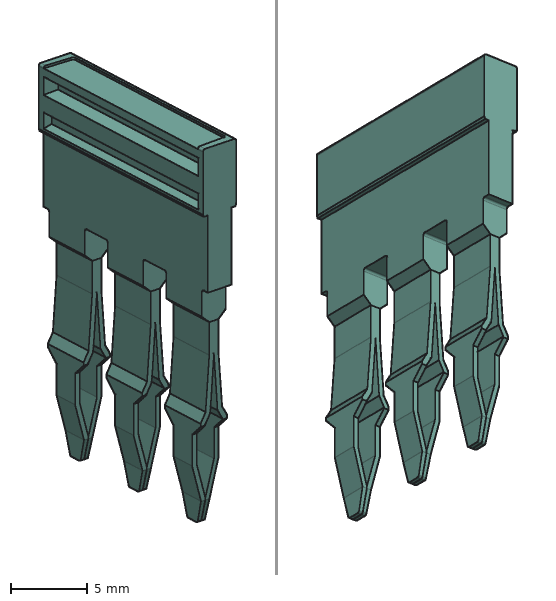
import cadquery as cq


TOP_Z = 27.95
STEP_Z = 23.05
BODY_BOTTOM_Z = 17.5
STUB_TAPER_Z = 15.55
STUB_BOTTOM_Z = 14.98
SPLIT_Z = 12.6
KNEE_Z = 8.58
BULGE_TOP_Z = 7.85
BULGE_BOTTOM_Z = 4.5
TIP_Z = 1.73

LENGTH = 17.2
GRIP_THICKNESS = 2.8
BODY_THICKNESS = 2.0
EDGE_RADIUS = 0.17
STUB_ROOT_RADIUS = 0.17
LIP_HEIGHT = 0.17
LIP_DEPTH = 0.07

RECESS_DEPTH = 0.17
RECESS_BACK_WALL = 0.35
RECESS_FRONT_MARGIN = 0.53
RECESS_BACK_MARGIN = 0.65
RECESS_CORNER_RADIUS = 0.17

SLOT_MARGIN = 0.5
SLOT_SIDE_DRAFT = 0.45
SLOT_FLOOR_RISE = 0.28
UPPER_SLOT_TOP_Z = 27.17
UPPER_SLOT_BOTTOM_Z = 25.85
UPPER_SLOT_DEPTH = 0.9
UPPER_SLOT_TOP_DROP = 0.5
LOWER_SLOT_TOP_Z = 24.6
LOWER_SLOT_BOTTOM_Z = 23.42
LOWER_SLOT_DEPTH = 0.5

PITCH = 6.12
PRONG_COUNT = 3
PRONG_WIDTH = 3.75
LEG_WIDTH = 1.95
TIP_END_WIDTH = 1.05
TIP_CORNER_RADIUS = 0.17
SHOULDER_Z = 7.63
STEM_THICKNESS = 0.78
LEG_THICKNESS = 0.4
KNEE_HALF_SPREAD = 0.7
BULGE_HALF_SPREAD = 1.12
TIP_HALF_SPREAD = 0.35
TIP_END_HALF_SPREAD = 0.3
TIP_GAP = 0.015
BEND_SHIFT = 0.17

FRONT_Y = -GRIP_THICKNESS / 2
PRONG_XS = [(i - (PRONG_COUNT - 1) / 2) * PITCH for i in range(PRONG_COUNT)]


def box(x_size, y_size, z_low, z_high, x_center=0.0):
    """Box centred on the middle plane Y = 0, between two levels."""
    return (
        cq.Workplane("XY", origin=(x_center, 0, z_low))
        .rect(x_size, y_size)
        .extrude(z_high - z_low)
    )


def make_grip():
    """Thick upper block with rounded long top edges and bevelled long lower edges."""
    half = GRIP_THICKNESS / 2
    foot = half - LIP_DEPTH
    outline = [
        (-half, TOP_Z),
        (half, TOP_Z),
        (half, STEP_Z + LIP_HEIGHT),
        (foot, STEP_Z),
        (-foot, STEP_Z),
        (-half, STEP_Z + LIP_HEIGHT),
    ]
    grip = cq.Workplane("YZ").polyline(outline).close().extrude(LENGTH / 2, both=True)
    return grip.faces(">Z").edges("|X").fillet(EDGE_RADIUS)


def make_recess():
    """Shallow tapering tray cut into the top face, open toward the front."""
    front_half = LENGTH / 2 - RECESS_FRONT_MARGIN
    back_half = LENGTH / 2 - RECESS_BACK_MARGIN
    back_y = GRIP_THICKNESS / 2 - RECESS_BACK_WALL
    outline = [(-front_half, FRONT_Y), (front_half, FRONT_Y), (back_half, back_y), (-back_half, back_y)]
    tray = (
        cq.Workplane("XY", origin=(0, 0, TOP_Z - RECESS_DEPTH))
        .polyline(outline)
        .close()
        .extrude(RECESS_DEPTH)
    )
    return tray.edges("|Z and >Y").fillet(RECESS_CORNER_RADIUS)


def make_slot(top_z, bottom_z, depth, top_drop):
    """Finger slot narrowing from its mouth in the front face to its floor."""
    mouth_length = LENGTH - 2 * SLOT_MARGIN
    floor_length = mouth_length - 2 * SLOT_SIDE_DRAFT * depth
    floor_top = top_z - top_drop
    floor_bottom = bottom_z + SLOT_FLOOR_RISE
    mouth_center = (top_z + bottom_z) / 2
    floor_center = (floor_top + floor_bottom) / 2
    return (
        cq.Workplane("XZ", origin=(0, FRONT_Y, mouth_center))
        .rect(mouth_length, top_z - bottom_z)
        .workplane(offset=-depth)
        .center(0, floor_center - mouth_center)
        .rect(floor_length, floor_top - floor_bottom)
        .loft(ruled=True)
    )


def make_stub(x_center):
    """Stub below the body, narrowing in thickness to the prong that leaves it."""
    taper_run = (BODY_THICKNESS - STEM_THICKNESS) / 2
    return (
        box(PRONG_WIDTH, BODY_THICKNESS, STUB_BOTTOM_Z, BODY_BOTTOM_Z, x_center)
        .faces("<Z")
        .edges("|X")
        .chamfer(STUB_TAPER_Z - STUB_BOTTOM_Z, taper_run)
    )


def make_housing():
    body = box(LENGTH, BODY_THICKNESS, BODY_BOTTOM_Z, STEP_Z)
    for x_center in PRONG_XS:
        body = body.union(make_stub(x_center))
    stub_roots = cq.selectors.BoxSelector(
        (-LENGTH / 2 + STUB_ROOT_RADIUS, -BODY_THICKNESS, BODY_BOTTOM_Z - STUB_ROOT_RADIUS),
        (LENGTH / 2 - STUB_ROOT_RADIUS, BODY_THICKNESS, BODY_BOTTOM_Z + STUB_ROOT_RADIUS),
    )
    body = body.edges("|Y").edges(stub_roots).fillet(STUB_ROOT_RADIUS)

    upper_slot = make_slot(UPPER_SLOT_TOP_Z, UPPER_SLOT_BOTTOM_Z, UPPER_SLOT_DEPTH, UPPER_SLOT_TOP_DROP)
    lower_slot = make_slot(LOWER_SLOT_TOP_Z, LOWER_SLOT_BOTTOM_Z, LOWER_SLOT_DEPTH, 0)
    return make_grip().union(body).cut(make_recess()).cut(upper_slot).cut(lower_slot)


def make_prong_side():
    """Side shape of a prong: a stem forking into two legs that bulge and close at the tip."""
    outer = [
        (STEM_THICKNESS / 2, STUB_BOTTOM_Z),
        (STEM_THICKNESS / 2, SPLIT_Z),
        (KNEE_HALF_SPREAD, KNEE_Z),
        (BULGE_HALF_SPREAD, BULGE_TOP_Z),
        (BULGE_HALF_SPREAD, BULGE_BOTTOM_Z),
        (TIP_HALF_SPREAD, TIP_Z),
        (TIP_END_HALF_SPREAD, 0),
    ]
    inner = [
        (TIP_GAP / 2, 0),
        (TIP_GAP / 2, TIP_Z + BEND_SHIFT),
        (BULGE_HALF_SPREAD - LEG_THICKNESS, BULGE_BOTTOM_Z),
        (BULGE_HALF_SPREAD - LEG_THICKNESS, BULGE_TOP_Z - BEND_SHIFT),
        (KNEE_HALF_SPREAD - LEG_THICKNESS, KNEE_Z - BEND_SHIFT),
        (0, SPLIT_Z),
    ]
    right_half = outer + inner
    left_half = [(-y, z) for y, z in reversed(right_half[:-1])]
    return (
        cq.Workplane("YZ")
        .polyline(right_half + left_half)
        .close()
        .extrude(PRONG_WIDTH / 2, both=True)
    )


def make_prong_front():
    """Front shape of a prong: a wide blade with 45 degree shoulders and a tapered tip."""
    shoulder_end_z = SHOULDER_Z - (PRONG_WIDTH - LEG_WIDTH) / 2
    right_half = [
        (PRONG_WIDTH / 2, STUB_BOTTOM_Z),
        (PRONG_WIDTH / 2, SHOULDER_Z),
        (LEG_WIDTH / 2, shoulder_end_z),
        (LEG_WIDTH / 2, TIP_Z),
        (TIP_END_WIDTH / 2, 0),
    ]
    left_half = [(-x, z) for x, z in reversed(right_half)]
    blade = (
        cq.Workplane("XZ")
        .polyline(right_half + left_half)
        .close()
        .extrude(GRIP_THICKNESS / 2, both=True)
    )
    return blade.faces("<Z").edges("|Y").fillet(TIP_CORNER_RADIUS)


def make_prong(x_center):
    return make_prong_side().intersect(make_prong_front()).translate((x_center, 0, 0))


housing = make_housing()
prongs = [make_prong(x_center) for x_center in PRONG_XS]

result = cq.Compound.makeCompound([housing.val(), *[prong.val() for prong in prongs]])